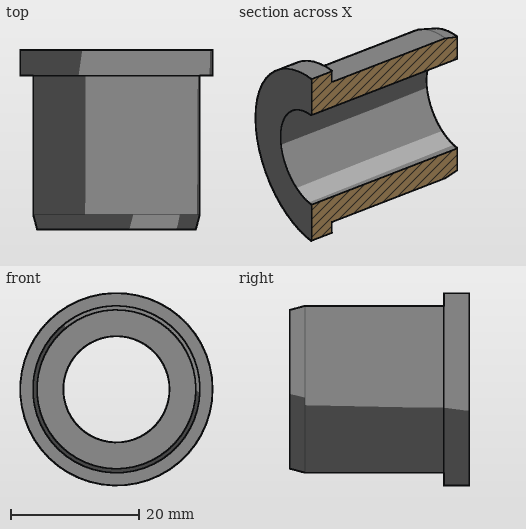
import cadquery as cq
import math

flange_diameter = 30.0
flange_thickness = 4.0
body_diameter = 26.0
bore_diameter = 16.5
total_length = 28.0

taper_length = 2.37
taper_angle = 15.0
taper_depth = taper_length * math.tan(math.radians(taper_angle))

flange_radius = flange_diameter / 2
body_radius = body_diameter / 2
bore_radius = bore_diameter / 2
flange_face = total_length - flange_thickness

half_section = (
    cq.Workplane("XY")
    .moveTo(bore_radius, 0)
    .lineTo(body_radius - taper_depth, 0)
    .lineTo(body_radius, taper_length)
    .lineTo(body_radius, flange_face)
    .lineTo(flange_radius, flange_face)
    .lineTo(flange_radius, total_length)
    .lineTo(bore_radius, total_length)
    .close()
)

result = half_section.revolve(360, (0, 0, 0), (0, 1, 0))